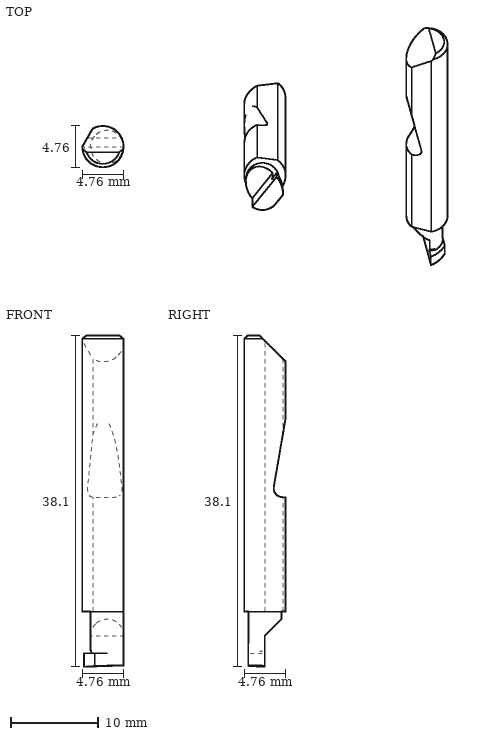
import cadquery as cq
import math

TOTAL_LENGTH = 38.1
SHANK_RADIUS = 4.7625 / 2
SHOULDER_Z = 6.35
END_CHAMFER = 0.4
FLAT_ANGLE = 60.0

REAR_SLANT_EDGE_Y = -0.63

NOTCH_FLOOR_Z = 19.52
NOTCH_TOP_Z = 28.5
NOTCH_ROOT_Y = 0.83
NOTCH_FILLET = 1.0

NECK_RADIUS = 1.915
NECK_X = SHANK_RADIUS - NECK_RADIUS
NECK_RUNOUT_Z = 3.6

HEAD_HEIGHT = 1.575
TIP_X = -2.2
SIDE_BULGE = 0.1
SIDE_END = (-1.43, -1.44)
HEEL_X = -0.95
END_RELIEF_X = 1.9
END_RELIEF_Y = 2.2

RELIEF_BASE_X = -1.33
RELIEF_SHOULDER = (-1.36, 1.82)
RELIEF_TOP_Z = 1.92

CLEARANCE = 2 * SHANK_RADIUS


def side_prism(points):
    """Closed (Y, Z) outline extruded across the whole width in X."""
    return cq.Workplane("YZ").polyline(points).close().extrude(CLEARANCE, both=True)


def make_shank():
    shank = (
        cq.Workplane("XY")
        .workplane(offset=SHOULDER_Z)
        .circle(SHANK_RADIUS)
        .extrude(TOTAL_LENGTH - SHOULDER_Z)
        .faces(">Z")
        .chamfer(END_CHAMFER)
    )
    return shank.cut(side_flat()).cut(rear_slant()).cut(clamping_notch())


def side_flat():
    """Block beyond a chord that starts at the shank's -X point."""
    return (
        cq.Workplane("XY")
        .rect(CLEARANCE, 2 * CLEARANCE)
        .extrude(TOTAL_LENGTH)
        .translate((-CLEARANCE / 2, 0, 0))
        .rotate((0, 0, 0), (0, 0, 1), FLAT_ANGLE - 90)
        .translate((-SHANK_RADIUS, 0, 0))
    )


def rear_slant():
    return side_prism([
        (REAR_SLANT_EDGE_Y, TOTAL_LENGTH),
        (REAR_SLANT_EDGE_Y + CLEARANCE, TOTAL_LENGTH - CLEARANCE),
        (REAR_SLANT_EDGE_Y + CLEARANCE, TOTAL_LENGTH),
    ])


def clamping_notch():
    notch = side_prism([
        (NOTCH_ROOT_Y, NOTCH_FLOOR_Z),
        (SHANK_RADIUS, NOTCH_TOP_Z),
        (CLEARANCE, NOTCH_TOP_Z),
        (CLEARANCE, NOTCH_FLOOR_Z),
    ])
    root = cq.selectors.NearestToPointSelector((0, NOTCH_ROOT_Y, NOTCH_FLOOR_Z))
    return notch.edges("|X").edges(root).fillet(NOTCH_FILLET)


def make_neck():
    neck = cq.Workplane("XY").center(NECK_X, 0).circle(NECK_RADIUS).extrude(SHOULDER_Z)
    rake_cut = side_prism([
        (0, 0),
        (0, NECK_RUNOUT_Z),
        (CLEARANCE, NECK_RUNOUT_Z + CLEARANCE),
        (CLEARANCE, 0),
    ])
    neck_side_x = NECK_X - NECK_RADIUS
    relief = (
        cq.Workplane("XZ")
        .polyline([
            (RELIEF_BASE_X, 0),
            (RELIEF_BASE_X, HEAD_HEIGHT),
            RELIEF_SHOULDER,
            (neck_side_x, RELIEF_TOP_Z),
            (neck_side_x, 0),
        ])
        .close()
        .extrude(CLEARANCE, both=True)
    )
    return neck.cut(rake_cut).cut(relief)


def make_head():
    side_length = math.hypot(SIDE_END[0] - TIP_X, SIDE_END[1])
    side_middle = (
        (TIP_X + SIDE_END[0]) / 2 + SIDE_BULGE * SIDE_END[1] / side_length,
        SIDE_END[1] / 2 - SIDE_BULGE * (SIDE_END[0] - TIP_X) / side_length,
    )
    return (
        cq.Workplane("XY")
        .moveTo(TIP_X, 0)
        .threePointArc(side_middle, SIDE_END)
        .lineTo(HEEL_X, -NECK_RADIUS)
        .lineTo(NECK_X, -NECK_RADIUS)
        .lineTo(NECK_X, 0)
        .close()
        .extrude(HEAD_HEIGHT)
    )


def end_relief():
    """Block below the bottom face, which rises from the tip toward +X and -Y."""
    return (
        cq.Workplane("XY")
        .box(4 * CLEARANCE, 4 * CLEARANCE, CLEARANCE)
        .translate((0, 0, -CLEARANCE / 2))
        .rotate((0, 0, 0), (1, 0, 0), -END_RELIEF_Y)
        .rotate((0, 0, 0), (0, 1, 0), -END_RELIEF_X)
        .translate((TIP_X, 0, 0))
    )


result = make_shank().union(make_neck()).union(make_head()).cut(end_relief())